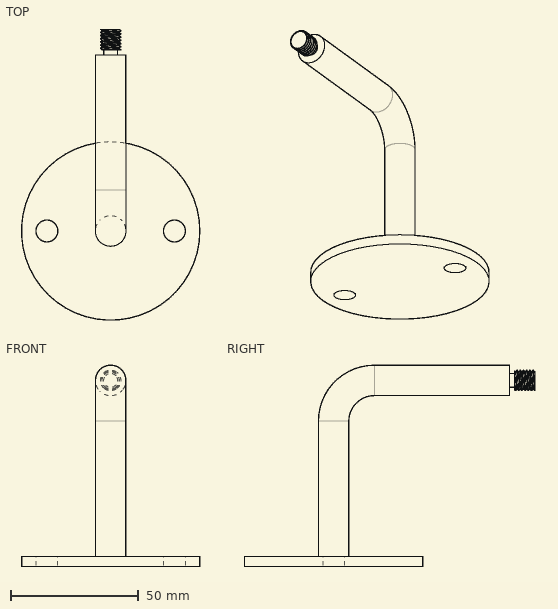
import cadquery as cq

plate_diameter = 70.0
plate_thickness = 4.0
screw_hole_diameter = 8.5
screw_hole_spacing = 50.0

rod_diameter = 12.0
overall_height = 79.0
arm_axis_height = overall_height - rod_diameter / 2
bend_radius = 16.0
arm_reach = 69.0

neck_diameter = 5.5
neck_length = 2.0
thread_length = 8.0
thread_major_diameter = 8.0
thread_minor_diameter = 6.75
thread_pitch = 1.25
thread_root_width = thread_pitch * 7 / 8
thread_crest_width = thread_pitch / 8
thread_overlap = 0.2


def make_plate():
    """Round plate with two screw holes on the X axis."""
    return (
        cq.Workplane("XY")
        .circle(plate_diameter / 2)
        .extrude(plate_thickness)
        .faces(">Z")
        .workplane()
        .rarray(screw_hole_spacing, 1, 2, 1)
        .hole(screw_hole_diameter)
    )


def make_rod():
    """Round bar swept up, around a quarter bend and out along +Y."""
    bend_start_height = arm_axis_height - bend_radius
    path = (
        cq.Workplane("YZ")
        .moveTo(0, plate_thickness)
        .lineTo(0, bend_start_height)
        .radiusArc((bend_radius, arm_axis_height), bend_radius)
        .lineTo(arm_reach, arm_axis_height)
    )
    return cq.Workplane("XY", origin=(0, 0, plate_thickness)).circle(rod_diameter / 2).sweep(path)


def make_thread():
    """Right-hand thread along +Z from the origin, its ridge cut flush at both ends."""
    core_radius = thread_minor_diameter / 2
    core = cq.Workplane("XY").circle(core_radius).extrude(thread_length)

    inner_radius = core_radius - thread_overlap
    helix_length = thread_length + 2 * thread_pitch
    helix = cq.Wire.makeHelix(thread_pitch, helix_length, inner_radius)
    ridge = (
        cq.Workplane("XZ")
        .moveTo(inner_radius, -thread_root_width / 2)
        .lineTo(core_radius, -thread_root_width / 2)
        .lineTo(thread_major_diameter / 2, -thread_crest_width / 2)
        .lineTo(thread_major_diameter / 2, thread_crest_width / 2)
        .lineTo(core_radius, thread_root_width / 2)
        .lineTo(inner_radius, thread_root_width / 2)
        .close()
        .sweep(cq.Workplane(helix), isFrenet=True)
        .translate((0, 0, -thread_pitch))
    )
    envelope = cq.Workplane("XY").circle(thread_major_diameter).extrude(thread_length)
    return core.union(ridge.intersect(envelope))


def make_stud():
    """Neck and thread, pointing along +Y from the end face of the arm."""
    neck = cq.Workplane("XY").circle(neck_diameter / 2).extrude(neck_length)
    stud = neck.union(make_thread().translate((0, 0, neck_length)))
    return stud.rotate((0, 0, 0), (1, 0, 0), -90).translate((0, arm_reach, arm_axis_height))


result = make_plate().union(make_rod()).union(make_stud())